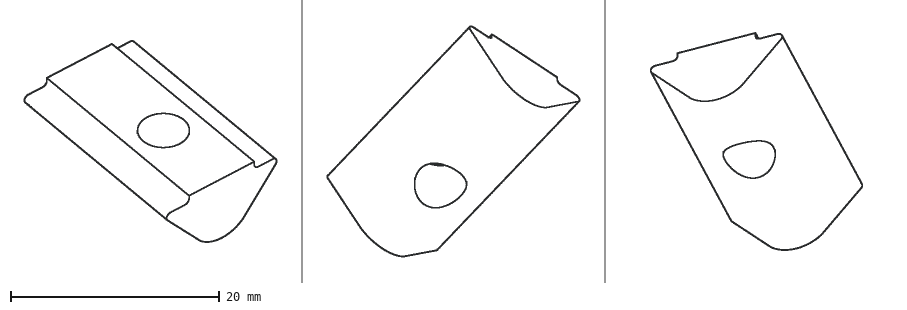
import cadquery as cq
import math

length = 22.0
width = 13.5
height = 7.57

rib_width = 8.0
rib_height = 0.9
root_radius = 0.5
edge_radius = 0.5
flank_angle = 50.0
belly_half_width = 2.6

hole_diameter = 5.0
hole_offset = 2.0

half_rib = rib_width / 2
shoulder_z = -rib_height
edge_y = width / 2 - edge_radius
edge_z = shoulder_z - edge_radius


def edge_point(angle):
    """Point (y, z) on the rounded +Y shoulder edge, angle in degrees from +Y."""
    a = math.radians(angle)
    return edge_y + edge_radius * math.cos(a), edge_z + edge_radius * math.sin(a)


def mirrored(point):
    return -point[0], point[1]


flank_top = edge_point(flank_angle - 90)
flank_drop = (flank_top[0] - belly_half_width) * math.tan(math.radians(flank_angle))
flank_bottom = (belly_half_width, flank_top[1] - flank_drop)
shoulder_end = (edge_y, shoulder_z)
edge_middle = edge_point(flank_angle / 2)
root_centre = (half_rib + root_radius, shoulder_z + root_radius)
root_start = (half_rib, root_centre[1])
root_end = (root_centre[0], shoulder_z)
root_middle = (
    root_centre[0] - root_radius * math.sqrt(0.5),
    root_centre[1] - root_radius * math.sqrt(0.5),
)

profile = (
    cq.Workplane("YZ", origin=(-length / 2, 0, 0))
    .moveTo(-half_rib, 0)
    .lineTo(half_rib, 0)
    .lineTo(*root_start)
    .threePointArc(root_middle, root_end)
    .lineTo(*shoulder_end)
    .threePointArc(edge_middle, flank_top)
    .lineTo(*flank_bottom)
    .threePointArc((0, -height), mirrored(flank_bottom))
    .lineTo(*mirrored(flank_top))
    .threePointArc(mirrored(edge_middle), mirrored(shoulder_end))
    .lineTo(*mirrored(root_end))
    .threePointArc(mirrored(root_middle), mirrored(root_start))
    .close()
)
body = profile.extrude(length)

hole = (
    cq.Workplane("XY", origin=(hole_offset, 0, -height))
    .circle(hole_diameter / 2)
    .extrude(height)
)
result = body.cut(hole)